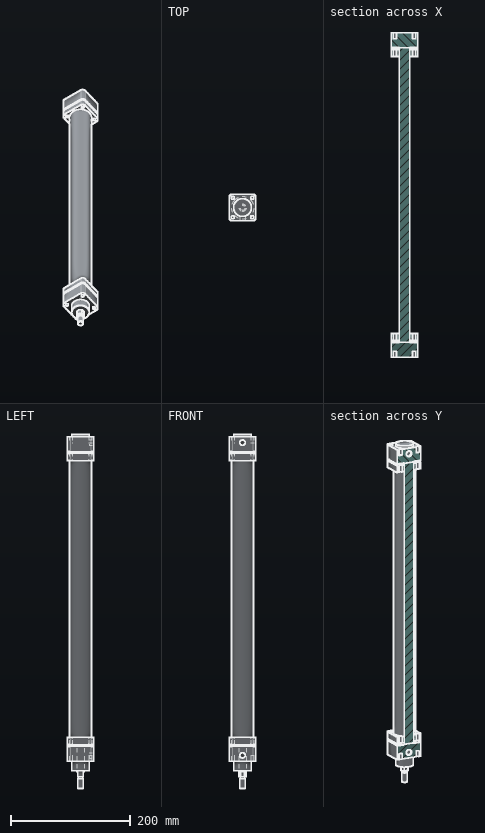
import cadquery as cq

OVERALL_LENGTH = 594.0
ROD_PROJECTION = 46.0
CAP_BOSS_HEIGHT = 4.0
COVER_LENGTH = 25.0
FLANGE_THICKNESS = 12.0
COVER_GAP = 3.0

ROD_COVER_INNER_Z = ROD_PROJECTION + COVER_LENGTH
ROD_FLANGE_Z = ROD_COVER_INNER_Z + COVER_GAP
HEAD_COVER_OUTER_Z = OVERALL_LENGTH - CAP_BOSS_HEIGHT
HEAD_COVER_INNER_Z = HEAD_COVER_OUTER_Z - COVER_LENGTH
HEAD_FLANGE_Z = HEAD_COVER_INNER_Z - COVER_GAP - FLANGE_THICKNESS

BODY_WIDTH = 45.0
CORNER_RADIUS = 5.4
BOLT_SPACING = 32.5
BOLT_HOLE_DIAMETER = 5.0
BOLT_HOLE_DEPTH = 10.0

PORT_DIAMETER = 9.0
PORT_DEPTH = 8.0
PORT_INSET = 10.0

BARREL_DIAMETER = 37.5
BOSS_DIAMETER = 30.0
NOSE_LENGTH = 16.0
NOSE_CHAMFER = 0.5

ROD_DIAMETER = 12.0
FLATS_WIDTH = 10.0
FLATS_LENGTH = 8.0
THREAD_DIAMETER = 10.0
THREAD_LENGTH = 17.0
THREAD_CHAMFER = 1.0
RELIEF_DIAMETER = 8.0
RELIEF_LENGTH = 3.5


def square_block(bottom_z, height):
    """Square block with rounded vertical corners, centred on the axis."""
    block = cq.Workplane("XY", origin=(0, 0, bottom_z)).rect(BODY_WIDTH, BODY_WIDTH).extrude(height)
    return block.edges("|Z").fillet(CORNER_RADIUS)


def cylinder(diameter, bottom_z, length):
    return cq.Workplane("XY", origin=(0, 0, bottom_z)).circle(diameter / 2).extrude(length)


def bolt_holes(bottom_z, depth):
    """Four cylinders on the bolt square, used to cut the corner holes."""
    return (
        cq.Workplane("XY", origin=(0, 0, bottom_z))
        .rect(BOLT_SPACING, BOLT_SPACING, forConstruction=True)
        .vertices()
        .circle(BOLT_HOLE_DIAMETER / 2)
        .extrude(depth)
    )


def port(center_z):
    """Blind port running inward from the -Y face."""
    face = cq.Workplane("XZ", origin=(0, -BODY_WIDTH / 2, center_z))
    return face.circle(PORT_DIAMETER / 2).extrude(-PORT_DEPTH)


def make_barrel():
    return cylinder(BARREL_DIAMETER, ROD_COVER_INNER_Z, HEAD_COVER_INNER_Z - ROD_COVER_INNER_Z)


def make_flange(bottom_z):
    """Square flange around the barrel with four through holes."""
    return (
        square_block(bottom_z, FLANGE_THICKNESS)
        .cut(cylinder(BARREL_DIAMETER, bottom_z, FLANGE_THICKNESS))
        .cut(bolt_holes(bottom_z, FLANGE_THICKNESS))
    )


def make_head_cover():
    boss = cylinder(BOSS_DIAMETER, HEAD_COVER_OUTER_Z, CAP_BOSS_HEIGHT)
    return (
        square_block(HEAD_COVER_INNER_Z, COVER_LENGTH)
        .union(boss)
        .cut(bolt_holes(HEAD_COVER_OUTER_Z - BOLT_HOLE_DEPTH, BOLT_HOLE_DEPTH))
        .cut(port(HEAD_COVER_OUTER_Z - PORT_INSET))
    )


def make_rod_cover():
    """Square cover with a chamfered nose, bored through for the rod."""
    nose_z = ROD_PROJECTION - NOSE_LENGTH
    nose = cylinder(BOSS_DIAMETER, nose_z, NOSE_LENGTH).faces("<Z").chamfer(NOSE_CHAMFER)
    return (
        square_block(ROD_PROJECTION, COVER_LENGTH)
        .union(nose)
        .cut(cylinder(ROD_DIAMETER, nose_z, NOSE_LENGTH + COVER_LENGTH))
        .cut(bolt_holes(ROD_PROJECTION, BOLT_HOLE_DEPTH))
        .cut(port(ROD_PROJECTION + PORT_INSET))
    )


def make_rod():
    """Rod with a threaded end, a thread relief and two wrench flats facing -Y and +Y."""
    shank_z = THREAD_LENGTH + RELIEF_LENGTH
    shank = cylinder(ROD_DIAMETER, shank_z, ROD_COVER_INNER_Z - shank_z)
    flats_zone = cylinder(ROD_DIAMETER, shank_z, FLATS_LENGTH)
    between_flats = (
        cq.Workplane("XY", origin=(0, 0, shank_z))
        .rect(ROD_DIAMETER, FLATS_WIDTH)
        .extrude(FLATS_LENGTH)
    )
    relief = cylinder(RELIEF_DIAMETER, THREAD_LENGTH, RELIEF_LENGTH)
    thread = cylinder(THREAD_DIAMETER, 0, THREAD_LENGTH).faces("<Z").chamfer(THREAD_CHAMFER)
    return shank.cut(flats_zone.cut(between_flats)).union(relief).union(thread)


barrel = make_barrel()
flanges = [make_flange(bottom_z) for bottom_z in (ROD_FLANGE_Z, HEAD_FLANGE_Z)]
head_cover = make_head_cover()
rod_cover = make_rod_cover()
rod = make_rod()

result = cq.Compound.makeCompound(
    [barrel.val(), *[flange.val() for flange in flanges], head_cover.val(), rod_cover.val(), rod.val()]
)